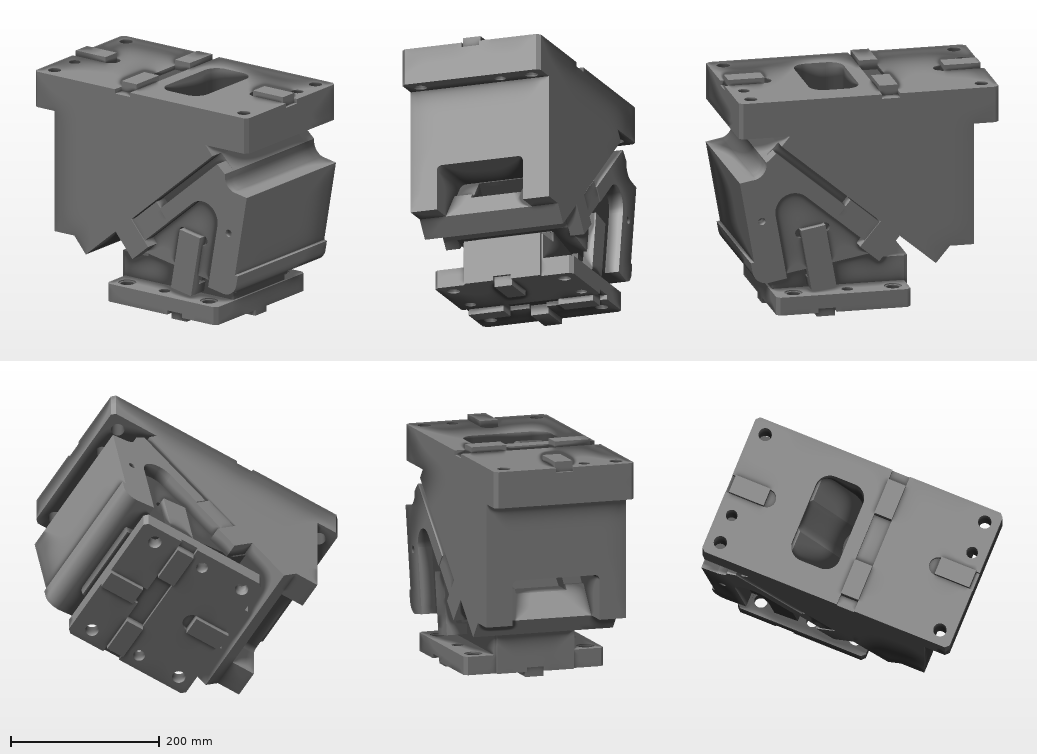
import cadquery as cq
import math

LENGTH = 360.0
WIDTH = 200.0
HALF_WIDTH = WIDTH / 2
CORNER_CHAMFER = 5.0
SCREW_DIAMETER = 18.0
DOWEL_DIAMETER = 16.0
HOLE_EDGE_GAP = 20.0
SCREW_Y = 80.3

KEY_LENGTH = 50.5
KEY_WIDTH = 25.2
KEY_RISE = 8.0
KEYWAY_DEPTH = 6.0
KEY_INSET = 5.0
KEYWAY_LENGTH = 55.0

PLATE_THICKNESS = 50.0
BODY_LEFT = -145.0
BODY_BOTTOM = -220.0
FOOT_TIP = (-92.0, -243.0)
SLIDE_ANGLE = math.radians(40)
SLIDE_LENGTH = 279.0
CROSS_KEYWAY_X = -30.2
CROSS_KEY_Y = 59.8
LEFT_DOWEL_Y = -35.0
RIGHT_DOWEL_Y = 40.0

LUG_START = 65.5
LUG_END = 100.0
LUG_DEPTH = 44.3
WEAR_PAD_THICKNESS = 1.8

POCKET_LEFT = 1.8
POCKET_RIGHT = 70.5
POCKET_LEDGE = 3.5
POCKET_BOTTOM = -89.3
POCKET_HALF_WIDTH = 62.3
POCKET_RADIUS = 20.0
FLOOR_ANGLE = math.radians(50)
GROOVE_HALF_WIDTH = 23.5
GROOVE_DEPTH = 8.0

WINDOW_TOP = -158.0
WINDOW_RADIUS = 7.2
WINDOW_STEP_BOTTOM = -182.0
WINDOW_STEP_DEPTH = 6.5
CAVITY_HALF_WIDTH = 36.5
CAVITY_BOTTOM = -188.5
CAVITY_FLAT_END = -53.3
CAVITY_SLOPE_RISE = 11.5

CORE_HALF_WIDTH = 80.0
GIB_HALF_WIDTH = 98.5
SLIDER_START = 63.5
SLIDER_END_DEPTH = 30.5
RAMP_ANGLE = math.radians(10)
SLIDER_RIGHT = 180.7
SLIDER_TOE_RIGHT = 185.5
TOE_HEIGHT = 33.0
TOE_RADIUS = 19.8
SLIDER_SHOULDER = 147.5
SCOOP_TOP = (139.5, 167.5)
SCOOP_MIDDLE = (144.7, 154.8)
SCOOP_END = 157.5
SHELF_DEPTH = 12.5
SLOT_DEPTH = 34.2
GIB_END = 152.5
SLOT_RIGHT = 140.5
SLOT_RADIUS = 26.0
SLOT_RUNOUT = 72.0
SIDE_HOLE_DIAMETER = 10.0
SIDE_HOLE_DEPTH = 20.0
SIDE_HOLE = (149.0, -167.5)

HOOK_START = 73.5
HOOK_END = 108.0
HOOK_TOP = 57.5
HOOK_BOTTOM = -28.5
HOOK_FOOT_TOP = -14.5
HOOK_NECK_INNER_Y = 75.0
HOOK_FOOT_INNER_Y = 60.0
HOOK_OUTER_Y = 89.3
RELIEF_RADIUS = 7.0
RELIEF_HEIGHT = 51.5
RELIEF_DEPTH = 7.2

BASE_BOTTOM = -302.0
BASE_THICKNESS = 25.2
BASE_TOP = BASE_BOTTOM + BASE_THICKNESS
BASE_LEFT = -58.0
BASE_RIGHT = 128.0
TONGUE_LEFT = -63.0
TONGUE_TOP = -242.3
TONGUE_HALF_WIDTH = 55.0
BLOCK_HALF_WIDTH = 57.2
BLOCK_LEFT = -18.5
BLOCK_RIGHT = 125.0
RAMP_LENGTH = 158.8
RAMP_LIP = 13.5
RAMP_PAD_THICKNESS = 1.5
KEEPER_START = 75.5
KEEPER_END = 106.0
KEEPER_DEPTH = 12.5
KEEPER_OUTER_Y = 66.2
BASE_CROSS_KEYWAY_X = 58.0
BASE_CROSS_KEY_Y = 64.8
BASE_SCREWS_X = (-37.0, 100.8)
BASE_DOWEL_X = 26.0
SPOTFACE_DIAMETER = 24.5
SPOTFACE_DEPTH = 1.5


def slide_point(along, below):
    """XZ point measured along the sliding face and square below it."""
    return (
        FOOT_TIP[0] + along * math.cos(SLIDE_ANGLE) + below * math.sin(SLIDE_ANGLE),
        FOOT_TIP[1] + along * math.sin(SLIDE_ANGLE) - below * math.cos(SLIDE_ANGLE),
    )


RAMP_ORIGIN = slide_point(SLIDER_START, SLIDER_END_DEPTH)


def ramp_point(along, above):
    """XZ point measured down the ramp and square above it."""
    return (
        RAMP_ORIGIN[0] + along * math.cos(RAMP_ANGLE) + above * math.sin(RAMP_ANGLE),
        RAMP_ORIGIN[1] - along * math.sin(RAMP_ANGLE) + above * math.cos(RAMP_ANGLE),
    )


def extrude_y(outline, y_from, y_to):
    """Extrude a closed XZ outline between two Y positions."""
    return outline.extrude(y_from - y_to).translate((0, y_from, 0))


def prism(points, y_from, y_to):
    return extrude_y(cq.Workplane("XZ").polyline(points).close(), y_from, y_to)


def centred_prism(points, half_width):
    return prism(points, -half_width, half_width)


def box(x_from, x_to, y_from, y_to, z_from, z_to):
    size = (x_to - x_from, y_to - y_from, z_to - z_from)
    return cq.Workplane("XY").box(*size, centered=False).translate((x_from, y_from, z_from))


def both_sides(shape):
    return shape.union(shape.mirror("XZ"))


def upright_cylinder(diameter, x, y, z_from, z_to):
    return cq.Workplane("XY", origin=(x, y, z_from)).circle(diameter / 2).extrude(z_to - z_from)


def add_keys(body, face_z, outward, x_left, x_right, key_left, key_right, cross_x, cross_y):
    """Cut the keyways of a mounting face and seat two lengthwise and two crosswise keys."""
    low, high = sorted((face_z, face_z - outward * KEYWAY_DEPTH))
    key_low, key_high = sorted((face_z + outward * KEY_RISE, face_z - outward * KEYWAY_DEPTH))
    half = KEY_WIDTH / 2

    body = body.cut(box(cross_x - half, cross_x + half, -HALF_WIDTH, HALF_WIDTH, low, high))
    for end_x, inward in ((x_left, 1), (x_right, -1)):
        round_x = end_x + inward * KEYWAY_LENGTH
        x_from, x_to = sorted((end_x, round_x))
        body = body.cut(box(x_from, x_to, -half, half, low, high))
        body = body.cut(upright_cylinder(KEY_WIDTH, round_x, 0, low, high))

    for key_x in (key_left, key_right - KEY_LENGTH):
        body = body.union(box(key_x, key_x + KEY_LENGTH, -half, half, key_low, key_high))
    for key_y in (-cross_y, cross_y):
        y_from = key_y - KEY_LENGTH / 2
        key = box(cross_x - half, cross_x + half, y_from, y_from + KEY_LENGTH, key_low, key_high)
        body = body.union(key)
    return body


def housing_body():
    foot_drop = BODY_BOTTOM - FOOT_TIP[1]
    foot_start = (FOOT_TIP[0] - foot_drop * math.tan(SLIDE_ANGLE), BODY_BOTTOM)
    slide_end = slide_point(SLIDE_LENGTH, 0)
    end_rise = -PLATE_THICKNESS - slide_end[1]
    end_top = (slide_end[0] - end_rise * math.tan(SLIDE_ANGLE), -PLATE_THICKNESS)
    body = centred_prism(
        [(BODY_LEFT, -PLATE_THICKNESS), (BODY_LEFT, BODY_BOTTOM), foot_start, FOOT_TIP, slide_end, end_top],
        HALF_WIDTH,
    )
    plate = box(-LENGTH / 2, LENGTH / 2, -HALF_WIDTH, HALF_WIDTH, -PLATE_THICKNESS, 0)
    plate = plate.edges("|Z").chamfer(CORNER_CHAMFER)
    return body.union(plate).cut(window(foot_start))


def window(foot_start):
    """Recess in the left wall, its floor climbing from the start of the foot."""
    floor_run = (WINDOW_TOP - BODY_BOTTOM) / math.tan(FLOOR_ANGLE)
    floor_end = (foot_start[0] + floor_run, WINDOW_TOP)
    recess = centred_prism(
        [(BODY_LEFT, WINDOW_TOP), (BODY_LEFT, BODY_BOTTOM), foot_start, floor_end], POCKET_HALF_WIDTH
    )
    envelope_end = floor_end[0] + WINDOW_STEP_DEPTH
    envelope = box(
        BODY_LEFT, envelope_end, -POCKET_HALF_WIDTH, POCKET_HALF_WIDTH, BODY_BOTTOM, WINDOW_TOP
    )
    envelope = envelope.edges("|X and >Z").fillet(WINDOW_RADIUS)

    step_x = foot_start[0] + (WINDOW_STEP_BOTTOM - BODY_BOTTOM) / math.tan(FLOOR_ANGLE)
    step = centred_prism(
        [
            (step_x, WINDOW_TOP),
            (step_x, WINDOW_STEP_BOTTOM),
            (step_x + WINDOW_STEP_DEPTH, WINDOW_STEP_BOTTOM),
            (floor_end[0] + WINDOW_STEP_DEPTH, WINDOW_TOP),
        ],
        POCKET_HALF_WIDTH,
    )

    slope_end_z = CAVITY_BOTTOM + CAVITY_SLOPE_RISE
    slope_end_x = CAVITY_FLAT_END + CAVITY_SLOPE_RISE / math.tan(SLIDE_ANGLE)
    roof_x = slope_end_x - (WINDOW_TOP - slope_end_z) * math.tan(SLIDE_ANGLE)
    floor_x = foot_start[0] + (CAVITY_BOTTOM - BODY_BOTTOM) / math.tan(FLOOR_ANGLE)
    cavity = centred_prism(
        [
            (floor_x, WINDOW_TOP),
            (floor_x, CAVITY_BOTTOM),
            (CAVITY_FLAT_END, CAVITY_BOTTOM),
            (slope_end_x, slope_end_z),
            (roof_x, WINDOW_TOP),
        ],
        CAVITY_HALF_WIDTH,
    )
    return recess.union(step).intersect(envelope).union(cavity)


def top_pocket():
    """Round-cornered pocket with a steep floor and a shallow groove down its middle."""
    ledge_x = POCKET_RIGHT - POCKET_LEDGE
    ledge_z = POCKET_BOTTOM + (ledge_x - POCKET_LEFT) * math.tan(FLOOR_ANGLE)
    hollow = centred_prism(
        [
            (POCKET_LEFT, 0),
            (POCKET_LEFT, POCKET_BOTTOM),
            (ledge_x, ledge_z),
            (POCKET_RIGHT, ledge_z),
            (POCKET_RIGHT, 0),
        ],
        POCKET_HALF_WIDTH,
    )
    envelope = box(
        POCKET_LEFT, POCKET_RIGHT, -POCKET_HALF_WIDTH, POCKET_HALF_WIDTH, POCKET_BOTTOM, 0
    ).edges("|Z").fillet(POCKET_RADIUS)

    radius = (GROOVE_HALF_WIDTH**2 + GROOVE_DEPTH**2) / (2 * GROOVE_DEPTH)
    axis_lift = radius - GROOVE_DEPTH
    axis = cq.Vector(math.cos(FLOOR_ANGLE), 0, math.sin(FLOOR_ANGLE))
    centre = cq.Vector(POCKET_LEFT, 0, POCKET_BOTTOM) + cq.Vector(-axis.z, 0, axis.x) * axis_lift
    reach = LENGTH / 2
    groove = cq.Workplane(cq.Solid.makeCylinder(radius, 2 * reach, centre - axis * reach, axis))
    return hollow.union(groove).intersect(envelope)


def housing_lugs():
    """Side lugs that hang from the sliding face and hold the slider's gibs."""
    return both_sides(
        prism(
            [
                slide_point(LUG_START, 0),
                slide_point(LUG_END, 0),
                slide_point(LUG_END, LUG_DEPTH),
                slide_point(LUG_START, LUG_DEPTH),
            ],
            CORE_HALF_WIDTH,
            HALF_WIDTH,
        )
    )


def wear_pad():
    return centred_prism(
        [
            slide_point(SLIDER_START, 0),
            slide_point(SLIDE_LENGTH, 0),
            slide_point(SLIDE_LENGTH, WEAR_PAD_THICKNESS),
            slide_point(SLIDER_START, WEAR_PAD_THICKNESS),
        ],
        CORE_HALF_WIDTH,
    )


def make_housing():
    half = LENGTH / 2
    housing = housing_body().union(housing_lugs()).union(wear_pad()).cut(top_pocket())
    housing = add_keys(
        housing, 0, 1, -half, half, -half + KEY_INSET, half - KEY_INSET, CROSS_KEYWAY_X, CROSS_KEY_Y
    )
    for side, dowel_y in ((-1, LEFT_DOWEL_Y), (1, RIGHT_DOWEL_Y)):
        hole_x = side * (half - HOLE_EDGE_GAP)
        for hole_y in (-SCREW_Y, SCREW_Y):
            housing = housing.cut(upright_cylinder(SCREW_DIAMETER, hole_x, hole_y, -PLATE_THICKNESS, 0))
        housing = housing.cut(upright_cylinder(DOWEL_DIAMETER, hole_x, dowel_y, -PLATE_THICKNESS, 0))
    return housing


def slider_outline(start, top_depth):
    """Slider profile to the right of a left end that runs square from the slide to the ramp."""
    toe_inset = TOE_RADIUS * (1 - math.sqrt(0.5))
    end_depth = SLIDER_END_DEPTH + (start - SLIDER_START) * math.tan(SLIDE_ANGLE + RAMP_ANGLE)
    return (
        cq.Workplane("XZ")
        .moveTo(*slide_point(start, top_depth))
        .lineTo(*slide_point(SLIDE_LENGTH, top_depth))
        .lineTo(*ramp_point(*SCOOP_TOP))
        .threePointArc(ramp_point(*SCOOP_MIDDLE), ramp_point(SCOOP_END, SLIDER_SHOULDER))
        .lineTo(*ramp_point(SLIDER_RIGHT, SLIDER_SHOULDER))
        .lineTo(*ramp_point(SLIDER_RIGHT, TOE_HEIGHT))
        .lineTo(*ramp_point(SLIDER_TOE_RIGHT, TOE_HEIGHT))
        .lineTo(*ramp_point(SLIDER_TOE_RIGHT, TOE_RADIUS))
        .threePointArc(
            ramp_point(SLIDER_TOE_RIGHT - toe_inset, toe_inset),
            ramp_point(SLIDER_TOE_RIGHT - TOE_RADIUS, 0),
        )
        .lineTo(*slide_point(start, end_depth))
        .close()
    )


def side_slot():
    """Open-bottomed clearance in one cheek, rounded where its two long edges meet."""
    turn = SLIDE_ANGLE + RAMP_ANGLE
    start = slide_point(0, SLOT_DEPTH + SLOT_RADIUS)
    offset_x = start[0] - RAMP_ORIGIN[0]
    offset_z = start[1] - RAMP_ORIGIN[1]
    start_along = offset_x * math.cos(RAMP_ANGLE) - offset_z * math.sin(RAMP_ANGLE)
    centre_along = (SLOT_RIGHT - SLOT_RADIUS - start_along) / math.cos(turn)
    centre = slide_point(centre_along, SLOT_DEPTH + SLOT_RADIUS)
    centre_above = (centre[0] - RAMP_ORIGIN[0]) * math.sin(RAMP_ANGLE)
    centre_above += (centre[1] - RAMP_ORIGIN[1]) * math.cos(RAMP_ANGLE)
    middle_angle = (math.pi / 2 + SLIDE_ANGLE - RAMP_ANGLE) / 2
    arc_middle = (
        centre[0] + SLOT_RADIUS * math.cos(middle_angle),
        centre[1] + SLOT_RADIUS * math.sin(middle_angle),
    )
    outline = (
        cq.Workplane("XZ")
        .moveTo(*slide_point(0, SLOT_DEPTH))
        .lineTo(*slide_point(centre_along, SLOT_DEPTH))
        .threePointArc(arc_middle, ramp_point(SLOT_RIGHT, centre_above))
        .lineTo(*ramp_point(SLOT_RIGHT, -SLOT_RUNOUT))
        .close()
    )
    return extrude_y(outline, CORE_HALF_WIDTH, HALF_WIDTH)


def slider_cheek():
    cheek = extrude_y(slider_outline(GIB_END, SHELF_DEPTH), CORE_HALF_WIDTH, HALF_WIDTH)
    gib = prism(
        [
            slide_point(LUG_END, WEAR_PAD_THICKNESS),
            slide_point(GIB_END, WEAR_PAD_THICKNESS),
            slide_point(GIB_END, SLOT_DEPTH),
            slide_point(LUG_END, SLOT_DEPTH),
        ],
        CORE_HALF_WIDTH,
        GIB_HALF_WIDTH,
    )
    return cheek.cut(side_slot()).union(gib)


def hook_block(top, inner_y):
    return prism(
        [
            ramp_point(HOOK_START, top),
            ramp_point(HOOK_END, top),
            ramp_point(HOOK_END, HOOK_BOTTOM),
            ramp_point(HOOK_START, HOOK_BOTTOM),
        ],
        inner_y,
        HOOK_OUTER_Y,
    )


def hook():
    """Return hook that stands in the slot, its foot turned inward below the ramp."""
    neck = hook_block(HOOK_TOP, HOOK_NECK_INNER_Y)
    foot = hook_block(HOOK_FOOT_TOP, HOOK_FOOT_INNER_Y)
    return neck.union(foot)


def round_hole(centre, radius, y_from, y_to):
    return extrude_y(cq.Workplane("XZ").center(*centre).circle(radius), y_from, y_to)


def make_slider():
    core = extrude_y(slider_outline(SLIDER_START, WEAR_PAD_THICKNESS), -CORE_HALF_WIDTH, CORE_HALF_WIDTH)
    slider = core.union(both_sides(slider_cheek()))
    for along in (HOOK_START, HOOK_END):
        centre = ramp_point(along, RELIEF_HEIGHT)
        relief = round_hole(centre, RELIEF_RADIUS, CORE_HALF_WIDTH - RELIEF_DEPTH, CORE_HALF_WIDTH)
        slider = slider.cut(both_sides(relief))
    side_hole = round_hole(SIDE_HOLE, SIDE_HOLE_DIAMETER / 2, HALF_WIDTH - SIDE_HOLE_DEPTH, HALF_WIDTH)
    return slider.cut(both_sides(side_hole)).union(both_sides(hook()))


def hook_keeper():
    """Ledge that overhangs the foot of the hook."""
    return prism(
        [
            ramp_point(KEEPER_START, 0),
            ramp_point(KEEPER_END, 0),
            ramp_point(KEEPER_END, -KEEPER_DEPTH),
            ramp_point(KEEPER_START, -KEEPER_DEPTH),
        ],
        TONGUE_HALF_WIDTH,
        KEEPER_OUTER_Y,
    )


def make_base():
    base = box(BASE_LEFT, BASE_RIGHT, -HALF_WIDTH, HALF_WIDTH, BASE_BOTTOM, BASE_TOP)
    base = base.edges("|Z").chamfer(CORNER_CHAMFER)
    tongue = box(
        TONGUE_LEFT, BLOCK_LEFT, -TONGUE_HALF_WIDTH, TONGUE_HALF_WIDTH, BASE_BOTTOM, TONGUE_TOP
    )
    lip = ramp_point(RAMP_LENGTH, -RAMP_LIP)
    pad_start = (BLOCK_LEFT - RAMP_ORIGIN[0]) / math.cos(RAMP_ANGLE)
    block_corner = ramp_point(pad_start, -RAMP_PAD_THICKNESS)
    block = centred_prism(
        [
            (BASE_LEFT, BASE_TOP),
            (BASE_LEFT, TONGUE_TOP),
            (BLOCK_LEFT, TONGUE_TOP),
            (BLOCK_LEFT, block_corner[1]),
            ramp_point(RAMP_LENGTH, -RAMP_PAD_THICKNESS),
            lip,
            (BLOCK_RIGHT, lip[1]),
            (BLOCK_RIGHT, BASE_TOP),
        ],
        BLOCK_HALF_WIDTH,
    )
    pad = centred_prism(
        [
            ramp_point(pad_start, 0),
            ramp_point(RAMP_LENGTH, 0),
            ramp_point(RAMP_LENGTH, -RAMP_PAD_THICKNESS),
            block_corner,
        ],
        TONGUE_HALF_WIDTH,
    )
    base = base.union(tongue).union(block).union(pad).union(both_sides(hook_keeper()))
    base = add_keys(
        base,
        BASE_BOTTOM,
        -1,
        TONGUE_LEFT,
        BASE_RIGHT,
        BASE_LEFT,
        BASE_RIGHT,
        BASE_CROSS_KEYWAY_X,
        BASE_CROSS_KEY_Y,
    )
    for hole_y in (-SCREW_Y, SCREW_Y):
        for hole_x in BASE_SCREWS_X:
            spotface_bottom = BASE_TOP - SPOTFACE_DEPTH
            base = base.cut(upright_cylinder(SCREW_DIAMETER, hole_x, hole_y, BASE_BOTTOM, BASE_TOP))
            base = base.cut(upright_cylinder(SPOTFACE_DIAMETER, hole_x, hole_y, spotface_bottom, BASE_TOP))
        base = base.cut(upright_cylinder(DOWEL_DIAMETER, BASE_DOWEL_X, hole_y, BASE_BOTTOM, BASE_TOP))
    return base


housing = make_housing()
slider = make_slider()
base = make_base()

result = cq.Compound.makeCompound([housing.solids().val(), slider.solids().val(), base.solids().val()])